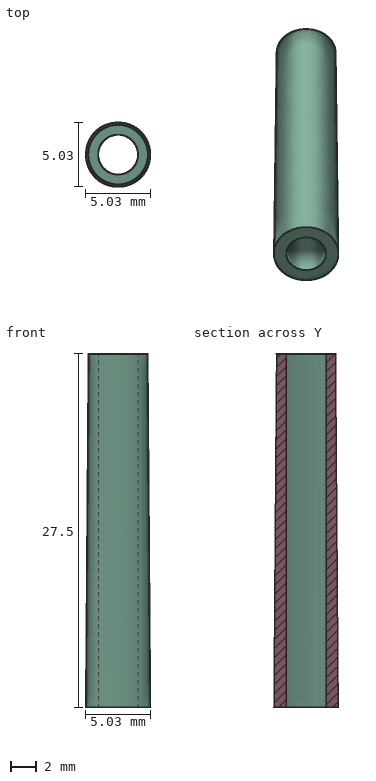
import cadquery as cq

length = 27.5
base_diameter = 5.03
top_diameter = 4.62
bore_diameter = 3.08

base_radius = base_diameter / 2
top_radius = top_diameter / 2
bore_radius = bore_diameter / 2

wall_section = (
    cq.Workplane("XZ")
    .moveTo(bore_radius, 0)
    .lineTo(base_radius, 0)
    .lineTo(top_radius, length)
    .lineTo(bore_radius, length)
    .close()
)

result = wall_section.revolve(360, (0, 0, 0), (0, 1, 0))